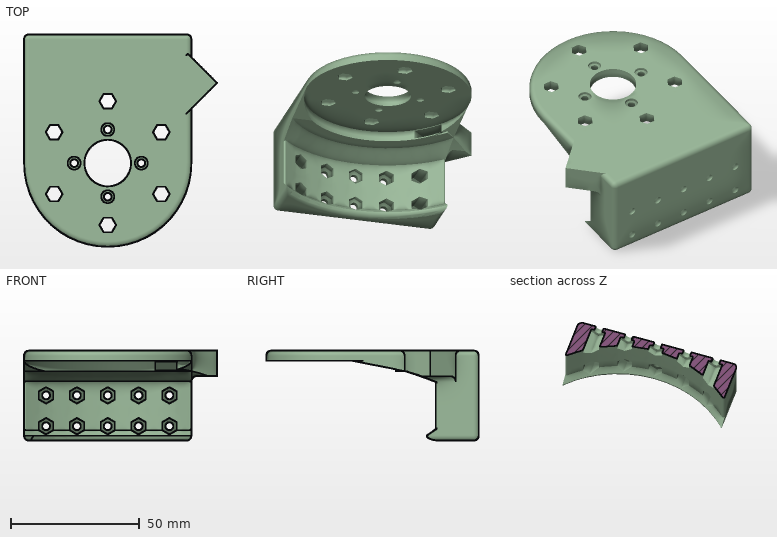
import cadquery as cq
import math

height = 35.0
half_width = 32.5
back_y = 50.0
plate_thickness = 4.05
edge_radius = 2.0
plate_bottom = height - plate_thickness

ramp_start_y = 1.0
ramp_end_y = 21.3
ledge_z = 27.0

wall_radius = 46.0
lip_reach = 2.0
lip_radius = wall_radius - lip_reach
lip_tip_z = edge_radius
cone_bottom_z = 23.0
cone_top_radius = math.hypot(half_width, ramp_end_y)
wall_edge_radius = 0.5

boss_angle = 45
boss_width = 16.0
boss_height = 10.0
boss_start = 33.0
boss_end = 52.0
boss_bottom = height - boss_height
boss_underside_mid = (27.4, 25.2)

slot_width = 12.0
slot_floor_z = 27.4
slot_height = 3.3
slot_start = 16.5
slot_end_wall = 2.0

bore_diameter = 18.0
screw_circle_radius = 13.0
plate_screw_count = 4
plate_screw_diameter = 2.9
counterbore_diameter = 5.0
counterbore_depth = 1.0
hex_circle_radius = 24.0
hex_count = 6
hex_start_angle = 90

nut_flats = 5.5
wall_screw_diameter = 3.0
wall_hole_pitch = 12.0
wall_hole_columns = 5
wall_hole_rows = 2
wall_hole_bottom_z = 5.6
nut_seat_y = 48.0


def box_along_diagonal(start, end, width, bottom, tall):
    """Box lying along the boss diagonal, between two distances from the Z axis."""
    block = cq.Workplane("XY").box(end - start, width, tall, centered=(False, True, False))
    return block.translate((start, 0, bottom)).rotate((0, 0, 0), (0, 0, 1), boss_angle)


def bracket_blank():
    """Rounded plate with a deep rear block, and ramps between them."""
    plan = (
        cq.Workplane("XY")
        .moveTo(-half_width, back_y)
        .lineTo(-half_width, 0)
        .threePointArc((0, -half_width), (half_width, 0))
        .lineTo(half_width, back_y)
        .close()
        .extrude(height)
        .edges("|Z and >Y")
        .fillet(edge_radius)
        .faces("<Z or >Z")
        .edges()
        .fillet(edge_radius)
    )
    side = (
        cq.Workplane("YZ")
        .polyline([
            (-half_width, height),
            (-half_width, plate_bottom),
            (ramp_start_y, plate_bottom),
            (ramp_end_y, ledge_z),
            (ramp_end_y, 0),
            (back_y, 0),
            (back_y, height),
        ])
        .close()
        .extrude(half_width, both=True)
    )
    return plan.intersect(side)


def clearance_hollow():
    """Turned space between the plate, the rear wall and its lip."""
    return (
        cq.Workplane("XZ")
        .moveTo(0, 0)
        .lineTo(lip_radius + edge_radius, 0)
        .radiusArc((lip_radius, lip_tip_z), edge_radius)
        .polyline([
            (wall_radius, lip_tip_z + lip_reach),
            (wall_radius, cone_bottom_z),
            (cone_top_radius, ledge_z),
            (half_width, ledge_z),
            (half_width, plate_bottom),
            (0, plate_bottom),
        ], includeCurrent=True)
        .close()
        .revolve(360, (0, 0, 0), (0, 1, 0))
    )


def corner_boss():
    """Diagonal box with a rounded inside corner under it and a curved relief at the front."""
    boss = box_along_diagonal(boss_start, boss_end, boss_width, boss_bottom, boss_height)
    corner_fill = (
        cq.Workplane("XZ")
        .moveTo(half_width, boss_bottom)
        .lineTo(half_width, boss_bottom - edge_radius)
        .radiusArc((half_width + edge_radius, boss_bottom), edge_radius)
        .close()
        .extrude(-back_y)
    )
    footprint = box_along_diagonal(boss_start, boss_end, boss_width, 0, height)
    wall_end_y = math.sqrt(wall_radius**2 - half_width**2)
    relief = (
        cq.Workplane("YZ", origin=(half_width, 0, 0))
        .moveTo(ramp_end_y, ledge_z)
        .threePointArc(boss_underside_mid, (wall_end_y, cone_bottom_z))
        .lineTo(wall_end_y, 0)
        .lineTo(0, 0)
        .lineTo(0, ledge_z)
        .close()
        .extrude(half_width)
    )
    return boss.union(corner_fill.intersect(footprint)).cut(relief)


def plate_holes():
    """Centre bore, counterbored screw holes and a ring of hexagonal holes."""
    bore = cq.Workplane("XY").circle(bore_diameter / 2).extrude(height)
    screws = cq.Workplane("XY").polarArray(screw_circle_radius, 0, 360, plate_screw_count)
    shanks = screws.circle(plate_screw_diameter / 2).extrude(height)
    heads = (
        cq.Workplane("XY", origin=(0, 0, height - counterbore_depth))
        .polarArray(screw_circle_radius, 0, 360, plate_screw_count)
        .circle(counterbore_diameter / 2)
        .extrude(counterbore_depth)
    )
    hexes = (
        cq.Workplane("XY", origin=(0, 0, plate_bottom))
        .polarArray(hex_circle_radius, hex_start_angle, 360, hex_count)
        .polygon(6, nut_flats, circumscribed=True)
        .extrude(plate_thickness)
    )
    return bore.union(shanks).union(heads).union(hexes)


def wall_holes():
    """Grid of screw holes through the rear wall, each with a hexagonal nut pocket inside."""
    cutters = cq.Workplane("XY")
    for column in range(wall_hole_columns):
        for row in range(wall_hole_rows):
            x = (column - (wall_hole_columns - 1) / 2) * wall_hole_pitch
            z = wall_hole_bottom_z + row * wall_hole_pitch
            plane = cq.Workplane("XZ", origin=(x, back_y, z))
            screw = plane.circle(wall_screw_diameter / 2).extrude(back_y)
            pocket = (
                plane.workplane(offset=back_y - nut_seat_y)
                .polygon(6, nut_flats, circumscribed=True)
                .extrude(nut_seat_y)
            )
            cutters = cutters.add(screw.union(pocket).val())
    return cutters.combine()


def wall_edge_selector():
    """Picks the upright edges where the side faces meet the hollow of the rear wall."""
    margin = 0.8
    return cq.selectors.BoxSelector(
        (-half_width - margin, ramp_end_y, lip_tip_z + margin),
        (half_width + margin, back_y - edge_radius - margin, cone_bottom_z + margin),
    )


hollow = clearance_hollow()
slot_end = boss_end - slot_end_wall
slot = box_along_diagonal(slot_start, slot_end, slot_width, slot_floor_z, slot_height)

bracket = bracket_blank().cut(hollow)
bracket = bracket.edges("|Z").edges(wall_edge_selector()).fillet(wall_edge_radius)
bracket = bracket.union(corner_boss().cut(hollow))
bracket = bracket.cut(slot).cut(plate_holes()).cut(wall_holes())

result = cq.Compound.makeCompound([bracket.val()])